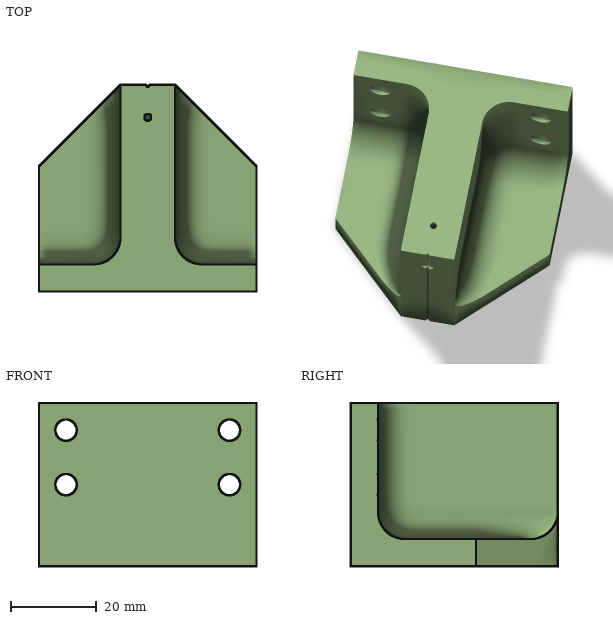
import cadquery as cq

width = 50.8
depth = 48.25
height = 38.1

wall = 6.35
rib_width = 2 * wall
inner_radius = wall

mount_diameter = 4.95
mount_edge = 6.35
mount_pitch = 12.7

pin_diameter = 1.65
pin_setback = 7.6
bore_diameter = 3.05
bore_below_top = 6.35
bore_depth = 12.7
notch_depth = 0.5
notch_width = 2 * notch_depth


def tapered_body():
    """Full-height block narrowing at 45 degrees to the rib width."""
    taper = (width - rib_width) / 2
    return (
        cq.Workplane("XY")
        .moveTo(-width / 2, 0)
        .lineTo(width / 2, 0)
        .lineTo(width / 2, depth - taper)
        .lineTo(rib_width / 2, depth)
        .lineTo(-rib_width / 2, depth)
        .lineTo(-width / 2, depth - taper)
        .close()
        .extrude(height)
    )


def right_side_pocket():
    """Space beside the rib, rounded along its three inner edges.

    It overshoots the body on the open sides.
    """
    pocket = cq.Workplane("XY").box(width, depth, height, centered=False)
    pocket = pocket.edges("(<X and <Y) or (<X and <Z) or (<Y and <Z)").fillet(inner_radius)
    return pocket.translate((rib_width / 2, wall, wall))


def mounting_holes():
    """Four cylinders along Y crossing the plate."""
    hole_x = width / 2 - mount_edge
    top_row = height - mount_edge
    centers = [(x, z) for x in (-hole_x, hole_x) for z in (top_row, top_row - mount_pitch)]
    return cq.Workplane("XZ").pushPoints(centers).circle(mount_diameter / 2).extrude(-wall)


def pin_hole():
    """Small hole from the top of the rib down to the bore's axis."""
    return (
        cq.Workplane("XY", origin=(0, depth - pin_setback, height))
        .circle(pin_diameter / 2)
        .extrude(-bore_below_top)
    )


def end_bore():
    """Blind horizontal bore from the free end of the rib, passing under the pin hole."""
    return (
        cq.Workplane("XZ", origin=(0, depth, height - bore_below_top))
        .circle(bore_diameter / 2)
        .extrude(bore_depth)
    )


def end_notch():
    """V-groove running down the free end of the rib."""
    return (
        cq.Workplane("XY")
        .moveTo(-notch_width / 2, depth)
        .lineTo(0, depth - notch_depth)
        .lineTo(notch_width / 2, depth)
        .close()
        .extrude(height)
    )


pocket = right_side_pocket()
result = (
    tapered_body()
    .cut(pocket)
    .cut(pocket.mirror("YZ"))
    .cut(mounting_holes())
    .cut(pin_hole())
    .cut(end_bore())
    .cut(end_notch())
)